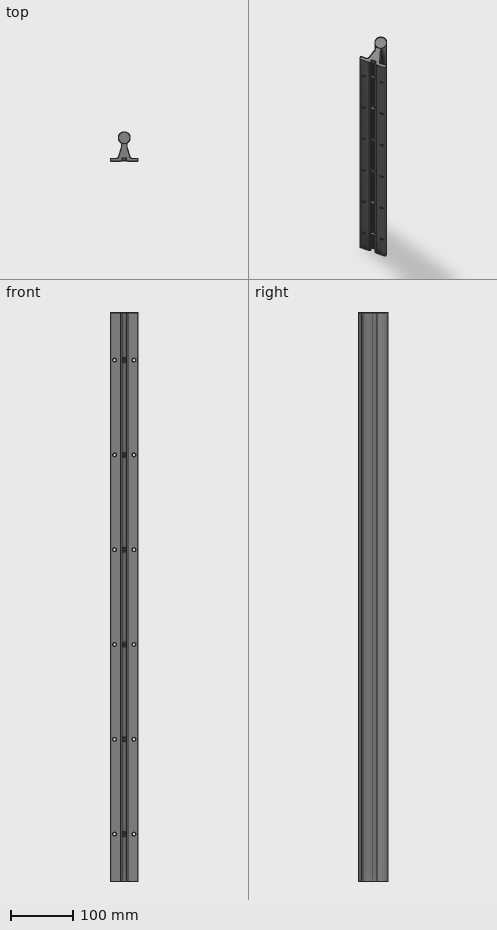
import cadquery as cq
import math

rail_length = 914.0
shaft_diameter = 19.0
overall_height = 48.0

base_width = 45.0
flange_thickness = 5.0
flange_corner_fillet = 1.4
web_root_width = 20.0
web_root_fillet = 3.2
neck_width = 9.0
neck_bottom_height = 23.0

mouth_width = 13.0
mouth_depth = 1.0
slot_width = 7.9
slot_depth = 5.5

station_count = 6
mounting_hole_diameter = 5.5
mounting_hole_spacing = 31.0
screw_head_diameter = slot_width
screw_head_height = 5.0
screw_socket_diameter = 4.0
screw_socket_depth = 2.3
screw_shank_diameter = 5.0
screw_depth_in_shaft = 9.0

station_pitch = rail_length / station_count
stations = [(i + 0.5) * station_pitch for i in range(station_count)]
shaft_radius = shaft_diameter / 2
shaft_height = overall_height - shaft_radius
shaft_bottom = shaft_height - shaft_radius
head_bottom = slot_depth - screw_head_height
screw_tip_height = shaft_bottom + screw_depth_in_shaft


def cylinder_along_y(diameter, start, end, x, z):
    """Solid cylinder parallel to Y between two heights above the mounting face."""
    base = cq.Vector(x, start, z)
    return cq.Workplane(cq.Solid.makeCylinder(diameter / 2, end - start, base, cq.Vector(0, 1, 0)))


def make_screw(z):
    """Socket screw: the head bears on the slot floor and the shank ends inside the shaft."""
    head = cylinder_along_y(screw_head_diameter, head_bottom, slot_depth, 0, z)
    shank = cylinder_along_y(screw_shank_diameter, slot_depth, screw_tip_height, 0, z)
    socket = cylinder_along_y(screw_socket_diameter, head_bottom, head_bottom + screw_socket_depth, 0, z)
    return head.union(shank).cut(socket)


def make_support_body():
    """Extruded base, web and neck, with the round saddle that carries the shaft."""
    half_base = base_width / 2
    half_root = web_root_width / 2
    half_neck = neck_width / 2
    saddle_edge = shaft_height - math.sqrt(shaft_radius**2 - half_neck**2)
    body = (
        cq.Workplane("XY")
        .moveTo(-half_base, 0)
        .lineTo(half_base, 0)
        .lineTo(half_base, flange_thickness)
        .lineTo(half_root, flange_thickness)
        .lineTo(half_neck, neck_bottom_height)
        .lineTo(half_neck, saddle_edge)
        .threePointArc((0, shaft_bottom), (-half_neck, saddle_edge))
        .lineTo(-half_neck, neck_bottom_height)
        .lineTo(-half_root, flange_thickness)
        .lineTo(-half_base, flange_thickness)
        .close()
        .extrude(rail_length)
    )
    mid_length = rail_length / 2
    for side in (-1, 1):
        root_point = (side * half_root, flange_thickness, mid_length)
        web_root = cq.selectors.NearestToPointSelector(root_point)
        body = body.edges(web_root).fillet(web_root_fillet)
    return body.faces("<X or >X").edges("|Z").fillet(flange_corner_fillet)


def make_groove():
    """Cutter for the groove in the mounting face."""
    half_mouth = mouth_width / 2
    half_slot = slot_width / 2
    return (
        cq.Workplane("XY")
        .moveTo(-half_mouth, 0)
        .lineTo(half_mouth, 0)
        .lineTo(half_slot, mouth_depth)
        .lineTo(half_slot, slot_depth)
        .lineTo(-half_slot, slot_depth)
        .lineTo(-half_slot, mouth_depth)
        .close()
        .extrude(rail_length)
    )


def make_support():
    """Support body with its groove, screw holes and mounting holes."""
    support = make_support_body().cut(make_groove())
    for z in stations:
        support = support.cut(cylinder_along_y(screw_shank_diameter, 0, screw_tip_height, 0, z))
        for x in (-mounting_hole_spacing / 2, mounting_hole_spacing / 2):
            support = support.cut(cylinder_along_y(mounting_hole_diameter, 0, flange_thickness, x, z))
    return support


def make_shaft():
    """Round bar with a blind radial hole for each screw."""
    shaft = cq.Workplane("XY").center(0, shaft_height).circle(shaft_radius).extrude(rail_length)
    for z in stations:
        shaft = shaft.cut(cylinder_along_y(screw_shank_diameter, 0, screw_tip_height, 0, z))
    return shaft


support = make_support()
shaft = make_shaft()
screws = [make_screw(z) for z in stations]

result = cq.Compound.makeCompound([support.val(), shaft.val(), *[screw.val() for screw in screws]])